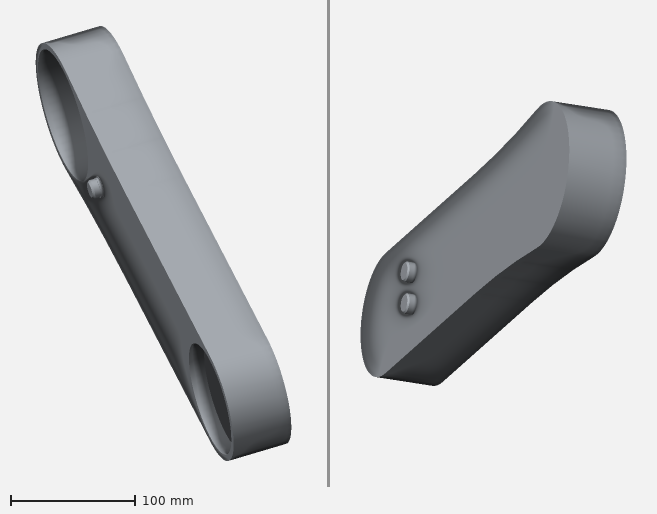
import cadquery as cq
import math

length = 437.0
large_end_diameter = 121.0
large_radius = large_end_diameter / 2
small_radius = 52.0
thickness = 50.0
small_end_x = length - large_radius - small_radius
flare_end_x = 137.0

rim_wall = 5.2
large_pocket_radius = large_radius - rim_wall
large_pocket_depth = 28.5
bore_radius = 44.5
bore_step = 0.2
bore_depth = large_pocket_depth + bore_step
small_pocket_radius = small_radius - rim_wall
small_pocket_depth = 13.0

connector_x = 82.0
connector_height = 9.0
flange_radius = 9.0
flange_height = 0.5
collar_radius = 8.5
collar_height = 2.5
pin_radius = 8.0
connector_chamfer = 1.7

stud_x = 266.5
stud_spacing = 27.5
stud_radius = 8.5
stud_height = 8.0
stud_chamfer = 1.5


def face_plane(x, y, z=0.0, outward=-1):
    """Plane parallel to the arm faces, pointing along outward * Y."""
    return cq.Plane(origin=(x, y, z), xDir=(1, 0, 0), normal=(0, outward, 0))


def make_body():
    flare_radius = (flare_end_x**2 + small_radius**2 - large_radius**2) / (
        2 * (large_radius - small_radius)
    )
    flare_center_z = small_radius + flare_radius
    tangent_angle = math.atan2(flare_center_z, flare_end_x)
    tangent_x = large_radius * math.cos(tangent_angle)
    tangent_z = large_radius * math.sin(tangent_angle)
    middle_angle = (tangent_angle + math.pi / 2) / 2
    flare_mid_x = flare_end_x - flare_radius * math.cos(middle_angle)
    flare_mid_z = flare_center_z - flare_radius * math.sin(middle_angle)
    return (
        cq.Workplane(face_plane(0, thickness))
        .moveTo(tangent_x, tangent_z)
        .threePointArc((flare_mid_x, flare_mid_z), (flare_end_x, small_radius))
        .lineTo(small_end_x, small_radius)
        .threePointArc((small_end_x + small_radius, 0), (small_end_x, -small_radius))
        .lineTo(flare_end_x, -small_radius)
        .threePointArc((flare_mid_x, -flare_mid_z), (tangent_x, -tangent_z))
        .threePointArc((-large_radius, 0), (tangent_x, tangent_z))
        .close()
        .extrude(thickness)
    )


def make_recess(x, radius, depth):
    return cq.Workplane(face_plane(x, depth)).circle(radius).extrude(depth)


def make_front_connector():
    plane = face_plane(connector_x, 0)
    flange = cq.Workplane(plane).circle(flange_radius).extrude(flange_height)
    collar = cq.Workplane(plane).circle(collar_radius).extrude(collar_height)
    pin = (
        cq.Workplane(plane)
        .circle(pin_radius)
        .extrude(connector_height)
        .faces("<Y")
        .chamfer(connector_chamfer)
    )
    return flange.union(collar).union(pin)


def make_back_stud(z):
    plane = face_plane(stud_x, thickness, z, outward=1)
    stud = cq.Workplane(plane).circle(stud_radius).extrude(stud_height)
    return stud.faces(">Y").chamfer(stud_chamfer)


result = (
    make_body()
    .cut(make_recess(0, large_pocket_radius, large_pocket_depth))
    .cut(make_recess(0, bore_radius, bore_depth))
    .cut(make_recess(small_end_x, small_pocket_radius, small_pocket_depth))
    .union(make_front_connector())
)
for side in (-1, 1):
    result = result.union(make_back_stud(side * stud_spacing / 2))